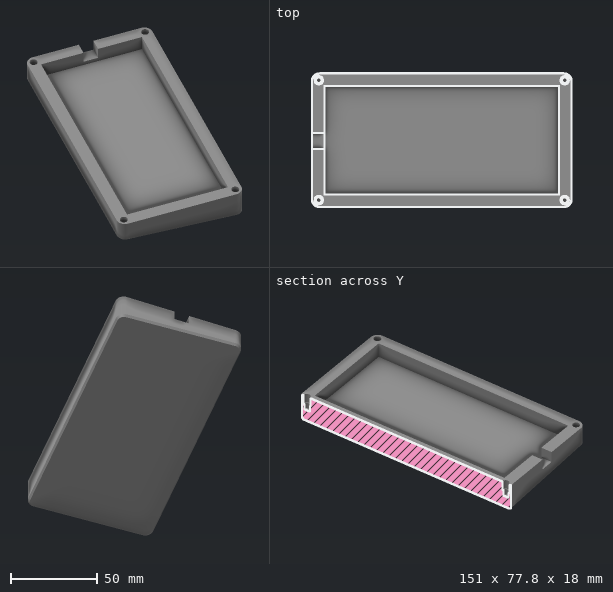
import cadquery as cq
import math

length = 151.0
width = 77.8
height = 18.0
corner_radius = 5.0
slope_angle = 3.5
bottom_chamfer = 1.2

wall = 7.4
pocket_depth = 9.7

notch_width = 9.0
notch_depth = 7.1
notch_offset_y = -0.5

hole_inset = 4.1
bore_diameter = 4.7
bore_depth = 6.0
pilot_diameter = 3.5
pilot_depth = 9.8


def make_body():
    """Rounded block with a sloped, chamfered underside."""
    block = (
        cq.Workplane("XY")
        .box(length, width, 2 * height, centered=(True, True, False))
        .translate((0, 0, -2 * height))
        .edges("|Z")
        .fillet(corner_radius)
    )
    slope = math.tan(math.radians(slope_angle))
    low_y = width / 2 - bottom_chamfer
    rise_to_front = slope * (width / 2 + low_y)
    drop_to_back = slope * bottom_chamfer
    profile = (
        cq.Workplane("YZ")
        .polyline([
            (-width / 2, 0),
            (width / 2, 0),
            (width / 2, -height - drop_to_back),
            (-width / 2, -height + rise_to_front),
        ])
        .close()
        .extrude(length / 2, both=True)
    )
    return block.intersect(profile).faces("<Z").chamfer(bottom_chamfer)


def cut_pocket(body):
    pocket = cq.Workplane("XY").rect(length - 2 * wall, width - 2 * wall).extrude(-pocket_depth)
    return body.cut(pocket)


def cut_notch(body):
    notch = (
        cq.Workplane("XY")
        .center((wall - length) / 2, notch_offset_y)
        .rect(wall, notch_width)
        .extrude(-notch_depth)
    )
    return body.cut(notch)


def cut_corner_holes(body):
    spacing_x = length - 2 * hole_inset
    spacing_y = width - 2 * hole_inset
    for diameter, depth in ((bore_diameter, bore_depth), (pilot_diameter, pilot_depth)):
        holes = (
            cq.Workplane("XY")
            .rect(spacing_x, spacing_y, forConstruction=True)
            .vertices()
            .circle(diameter / 2)
            .extrude(-depth)
        )
        body = body.cut(holes)
    return body


result = cut_corner_holes(cut_notch(cut_pocket(make_body())))